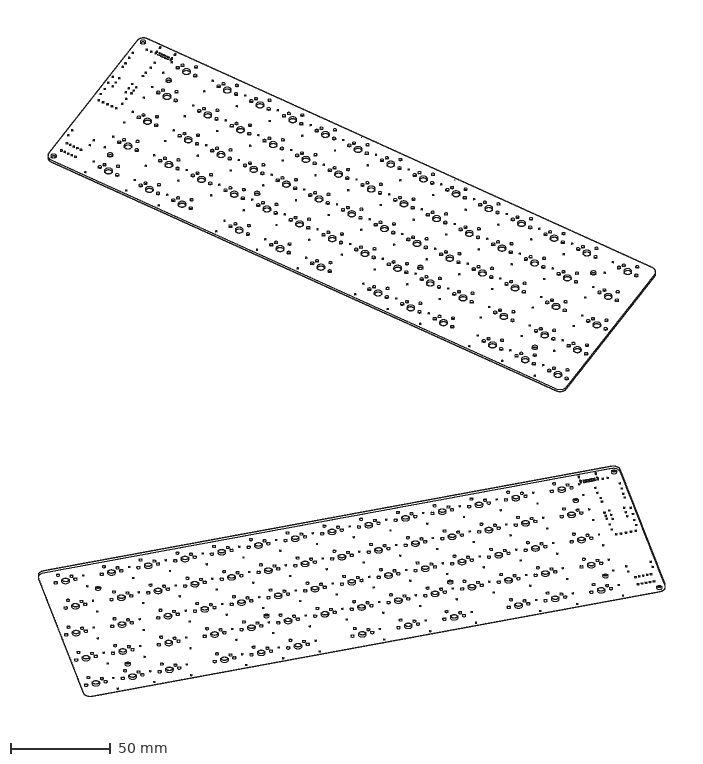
import cadquery as cq

board_length = 301.5
board_width = 93.5
board_thickness = 1.6
corner_radius = 3.5

top_row_span = 257.0
key_pitch = top_row_span / 13.5
pin_grid = key_pitch / 7.5

shared_columns = [-6.25, -5, -4, -3, -2, -1, 0, 1, 2, 3, 4]
key_rows = [
    shared_columns + [5, 6, 7.25],
    shared_columns + [5, 6, 7.25],
    shared_columns + [5, 6.25, 7.5],
    shared_columns + [5.25, 6.5, 7.5],
    [-6.25, -5, -4, -2.25, -1, 0.25, 2, 3, 4, 5.5, 6.5, 7.5],
]
middle_row = len(key_rows) // 2

post_diameter = 4.0
peg_diameter = 1.7
peg_offsets = [(-2 * pin_grid, 0), (2 * pin_grid, 0)]
contact_diameter = 1.5
contact_offsets = [(-1.5 * pin_grid, pin_grid), (pin_grid, 2 * pin_grid)]
diode_diameter = 0.72
diode_top = 1.57
diode_span = 8.0
diode_offsets = [(-key_pitch / 2, diode_top), (-key_pitch / 2, diode_top - diode_span)]

mounting_diameter = 2.7
mounting_inset = 3.0
corner_mount_x = mounting_inset - board_length / 2
corner_mount_y = board_width / 2 - mounting_inset
side_mount_x = 6.5 * key_pitch
side_mount_y = 1.5 * key_pitch
inner_mount_x = 2.5 * key_pitch
inner_mount_y = -key_pitch * 2 / 3

resistor_diameter = 0.75
resistor_left = corner_mount_x - 0.65
resistor_span = 12.7
resistor_pitch = 1.5 * pin_grid
resistor_pair_tops = [35.0, 7.2, -24.5]
zener_diameter = 0.8
zener_left = -148.0
zener_span = 11.8
zener_rows = [27.0, 24.5]

capacitor_diameter = 0.75
capacitor_left = corner_mount_x + 1.95
capacitor_span = 3 * pin_grid
capacitor_rows = [17.2, 14.0, 11.0]
crystal_diameter = 0.8
crystal_x = -149.0
crystal_rows = [16.3, 11.8]
three_pin_diameter = 0.8
three_pin_x = -135.5
three_pin_rows = [16.3, 14.0, 11.8]

header_diameter = 1.0
header_x = -142.0
header_y = -0.5
header_pin_count = 5
light_diameter = 0.8
light_left = -143.5
light_y = 40.5

connector_corner_diameter = 1.0
connector_pin_diameter = 0.87
connector_right = -138.0
connector_pin_count = 5
connector_pin_pitch = 2.05
connector_y = -36.0
connector_half_spacing = 2.7

usb_x = -134.0
usb_pin_diameter = 0.4
usb_pin_count = 8
usb_pin_pitch = 0.85
usb_pin_y = 41.0
usb_row_spacing = 1.35
usb_slot_spacing = 8.7
usb_slot_width = 0.5
usb_rear_slot_y = 41.3
usb_rear_slot_length = 2.0
usb_front_slot_y = 45.0
usb_front_slot_length = 1.4


def spread(centre, count, pitch):
    """Evenly spaced positions about a centre."""
    return [centre + (i - (count - 1) / 2) * pitch for i in range(count)]


def grid(xs, ys):
    """Every combination of the x and y positions."""
    return [(x, y) for x in xs for y in ys]


def around_keys(offsets):
    """The offsets repeated about every key centre."""
    return [(x + dx, y + dy) for x, y in key_centres for dx, dy in offsets]


def drill(board, diameter, points):
    """Drill through holes of one diameter at all the points."""
    pins = cq.Workplane("XY").pushPoints(points).circle(diameter / 2).extrude(board_thickness)
    return board.cut(pins, clean=False)


def cut_usb_slots(board, y, length):
    """Cut a left and right pair of upright slots for the USB shell."""
    points = grid(spread(usb_x, 2, usb_slot_spacing), [y])
    slots = cq.Workplane("XY").pushPoints(points).slot2D(length, usb_slot_width, 90)
    return board.cut(slots.extrude(board_thickness), clean=False)


def drill_switches(board):
    """Post, peg, contact and diode holes of every key."""
    board = drill(board, post_diameter, key_centres)
    board = drill(board, peg_diameter, around_keys(peg_offsets))
    board = drill(board, contact_diameter, around_keys(contact_offsets))
    return drill(board, diode_diameter, around_keys(diode_offsets))


def drill_mounting_holes(board):
    """Two holes at the left corners, four between the side keys and two near the middle."""
    points = grid([corner_mount_x], [-corner_mount_y, corner_mount_y])
    points += grid([-side_mount_x, side_mount_x], [-side_mount_y, side_mount_y])
    points += grid([-inner_mount_x, inner_mount_x], [inner_mount_y])
    return drill(board, mounting_diameter, points)


def drill_component_strip(board):
    """Lead holes of the small parts left of the keys."""
    resistor_rows = [top - i * resistor_pitch for top in resistor_pair_tops for i in range(2)]
    resistor_columns = [resistor_left, resistor_left + resistor_span]
    board = drill(board, resistor_diameter, grid(resistor_columns, resistor_rows))
    board = drill(board, zener_diameter, grid([zener_left, zener_left + zener_span], zener_rows))
    capacitor_columns = [capacitor_left, capacitor_left + capacitor_span]
    board = drill(board, capacitor_diameter, grid(capacitor_columns, capacitor_rows))
    board = drill(board, crystal_diameter, grid([crystal_x], crystal_rows))
    board = drill(board, three_pin_diameter, grid([three_pin_x], three_pin_rows))
    board = drill(board, header_diameter, grid(spread(header_x, header_pin_count, pin_grid), [header_y]))
    return drill(board, light_diameter, grid([light_left, light_left + pin_grid], [light_y]))


def drill_connector(board):
    """Two rows of connector pins, the end pins of each row being larger."""
    rows = [connector_y - connector_half_spacing, connector_y + connector_half_spacing]
    columns = [connector_right - i * connector_pin_pitch for i in range(connector_pin_count)]
    board = drill(board, connector_corner_diameter, grid([columns[0], columns[-1]], rows))
    return drill(board, connector_pin_diameter, grid(columns[1:-1], rows))


def cut_usb_socket(board):
    """Pin holes and shell slots of the USB socket."""
    pin_columns = spread(usb_x, usb_pin_count, usb_pin_pitch)
    pin_rows = spread(usb_pin_y, 2, usb_row_spacing)
    board = drill(board, usb_pin_diameter, grid(pin_columns, pin_rows))
    board = cut_usb_slots(board, usb_rear_slot_y, usb_rear_slot_length)
    return cut_usb_slots(board, usb_front_slot_y, usb_front_slot_length)


key_centres = [
    (column * key_pitch, (middle_row - row) * key_pitch)
    for row, columns in enumerate(key_rows)
    for column in columns
]

plate = cq.Workplane("XY").rect(board_length, board_width).extrude(board_thickness)
plate = plate.edges("|Z").fillet(corner_radius)
plate = drill_switches(plate)
plate = drill_mounting_holes(plate)
plate = drill_component_strip(plate)
plate = drill_connector(plate)
result = cut_usb_socket(plate)